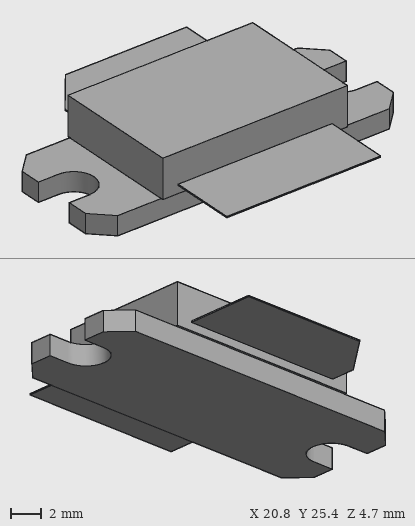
import cadquery as cq

flange_width = 9.8
flange_length = 25.4
flange_thickness = 1.55
flange_chamfer = 1.5
slot_width = 3.3
slot_depth = 3.3

body_width = 10.15
body_length = 15.25
frame_height = 0.6
lid_height = 2.55

lead_left_reach = 10.52
lead_right_reach = 10.29
lead_length = 12.7
lead_thickness = 0.1
lead_cut_x = 3.45
lead_cut_y = 2.7

frame_top = flange_thickness + frame_height


def make_flange():
    plate = (
        cq.Workplane("XY")
        .rect(flange_width, flange_length)
        .extrude(flange_thickness)
        .edges("|Z")
        .chamfer(flange_chamfer)
    )
    for side in (1, -1):
        plate = plate.cut(make_slot(side))
    return plate


def make_slot(side):
    """Round-bottomed slot open at the flange end on the given side of Y."""
    radius = slot_width / 2
    end_y = side * flange_length / 2
    slot_bottom_y = side * (flange_length / 2 - slot_depth)
    arc_center_y = slot_bottom_y + side * radius
    return (
        cq.Workplane("XY")
        .moveTo(-radius, end_y)
        .lineTo(-radius, arc_center_y)
        .threePointArc((0, slot_bottom_y), (radius, arc_center_y))
        .lineTo(radius, end_y)
        .close()
        .extrude(flange_thickness)
    )


def make_body():
    frame = (
        cq.Workplane("XY")
        .workplane(offset=flange_thickness)
        .rect(body_width, body_length)
        .extrude(frame_height)
    )
    lid = (
        cq.Workplane("XY")
        .workplane(offset=frame_top)
        .rect(body_width, body_length)
        .extrude(lid_height)
    )
    return frame.union(lid, clean=False)


def make_leads():
    """Both leads as one strip through the body, with one corner cut off."""
    half_length = lead_length / 2
    return (
        cq.Workplane("XY")
        .workplane(offset=frame_top)
        .moveTo(-lead_left_reach, half_length)
        .lineTo(lead_right_reach, half_length)
        .lineTo(lead_right_reach, -half_length)
        .lineTo(-lead_left_reach + lead_cut_x, -half_length)
        .lineTo(-lead_left_reach, -half_length + lead_cut_y)
        .close()
        .extrude(lead_thickness)
    )


result = (
    make_flange()
    .union(make_body(), clean=False)
    .union(make_leads(), clean=False)
)